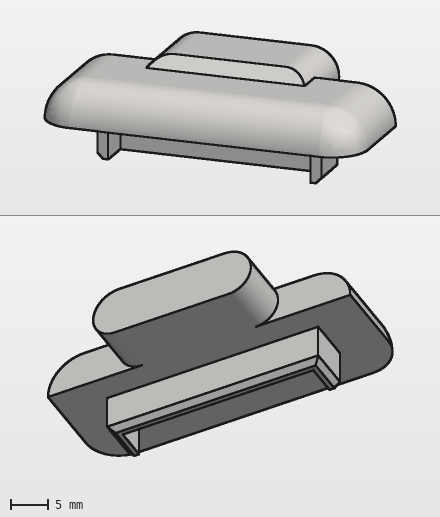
import cadquery as cq

base_width = 46.0
base_depth = 15.95
base_height = 5.55
edge_radius = 5.5
corner_radius = 5.0

total_depth = 23.8
tongue_width = 24.0
tongue_height = 7.35
tongue_top_radius = 4.0
tongue_bottom_radius = tongue_height - tongue_top_radius
tongue_bevel = tongue_height - base_height
tongue_foot = 12.05

peg_width = 32.1
peg_height = 5.85
peg_depth = 6.25
peg_wall = 1.55
peg_bevel = 0.85


def make_base():
    """Slab with rounded front corners and a rounded rim on its front and both ends."""
    slab = cq.Workplane("XY").box(base_width, base_depth, base_height, centered=(True, False, False))
    slab = slab.edges("|Z and <Y").fillet(corner_radius)
    return slab.faces(">Z").edges("not >Y").fillet(edge_radius)


def make_tongue():
    """Bar with rounded sides whose front end slopes down to the top of the base."""
    side_flat = tongue_width / 2
    top_flat = side_flat - tongue_top_radius
    bottom_flat = side_flat - tongue_bottom_radius
    shoulder = tongue_height - tongue_top_radius
    bar = (
        cq.Workplane("XZ", origin=(0, total_depth, 0))
        .moveTo(-bottom_flat, 0)
        .lineTo(bottom_flat, 0)
        .radiusArc((side_flat, shoulder), -tongue_bottom_radius)
        .radiusArc((top_flat, tongue_height), -tongue_top_radius)
        .lineTo(-top_flat, tongue_height)
        .radiusArc((-side_flat, shoulder), -tongue_top_radius)
        .radiusArc((-bottom_flat, 0), -tongue_bottom_radius)
        .close()
        .extrude(total_depth - tongue_foot)
    )
    slope = (
        cq.Workplane("YZ")
        .moveTo(tongue_foot, base_height)
        .lineTo(tongue_foot + tongue_bevel, tongue_height)
        .lineTo(tongue_foot, tongue_height)
        .close()
        .extrude(side_flat, both=True)
    )
    return bar.cut(slope)


def peg_block(width, depth):
    """Plain block hanging under the base, flush with the front plane of the peg."""
    return (
        cq.Workplane("XY")
        .box(width, depth, peg_height, centered=(True, False, False))
        .translate((0, tongue_foot - peg_depth, -peg_height))
    )


def make_peg():
    """U-shaped wall under the base, open toward the front, with its lower outer edges bevelled."""
    outside = peg_block(peg_width, peg_depth)
    outside = outside.faces("<Z").edges("not <Y").chamfer(peg_bevel)
    inside = peg_block(peg_width - 2 * peg_wall, peg_depth - peg_wall)
    return outside.cut(inside)


result = make_base().union(make_tongue()).union(make_peg())